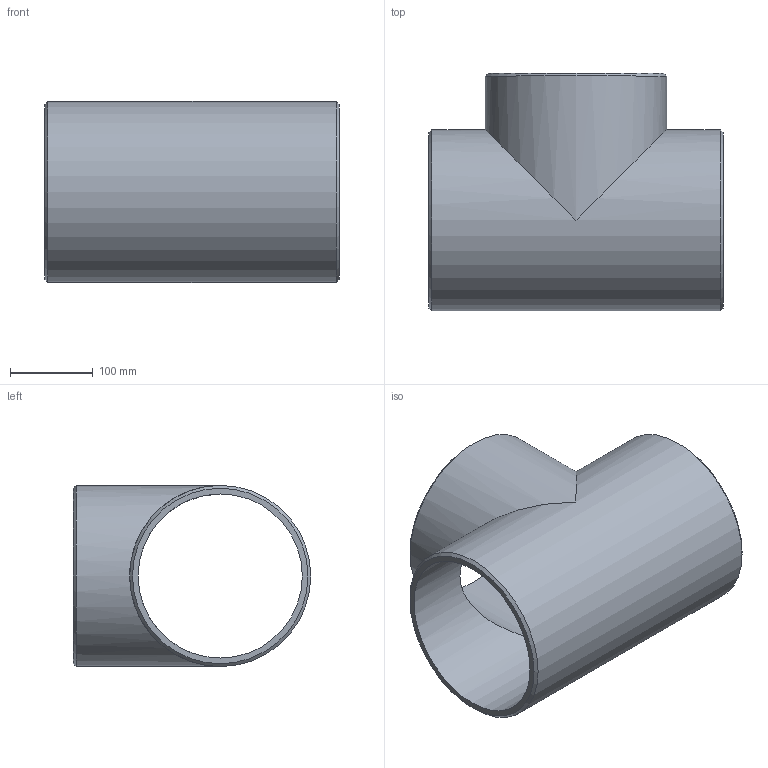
import cadquery as cq

outer_diameter = 219.075
wall_thickness = 10.31
center_to_end = 177.8
bevel = wall_thickness / 3

outer_radius = outer_diameter / 2
bore_radius = outer_radius - wall_thickness
run_length = 2 * center_to_end

run_start = cq.Plane(origin=(-center_to_end, 0, 0), xDir=(0, 1, 0), normal=(1, 0, 0))
branch_start = cq.Plane(origin=(0, 0, 0), xDir=(1, 0, 0), normal=(0, 1, 0))


def cylinder(start_plane, radius, length):
    """Solid cylinder growing along the normal of its start plane."""
    return cq.Workplane(start_plane).circle(radius).extrude(length)


def make_body():
    """Solid outer shape, with both run ends and the free branch end beveled."""
    run = cylinder(run_start, outer_radius, run_length).faces("<X or >X").chamfer(bevel)
    branch = cylinder(branch_start, outer_radius, center_to_end).faces(">Y").chamfer(bevel)
    return run.union(branch)


def make_bores():
    """Through bore of the run, joined by the bore of the branch."""
    run_bore = cylinder(run_start, bore_radius, run_length)
    branch_bore = cylinder(branch_start, bore_radius, center_to_end)
    return run_bore.union(branch_bore)


result = make_body().cut(make_bores())